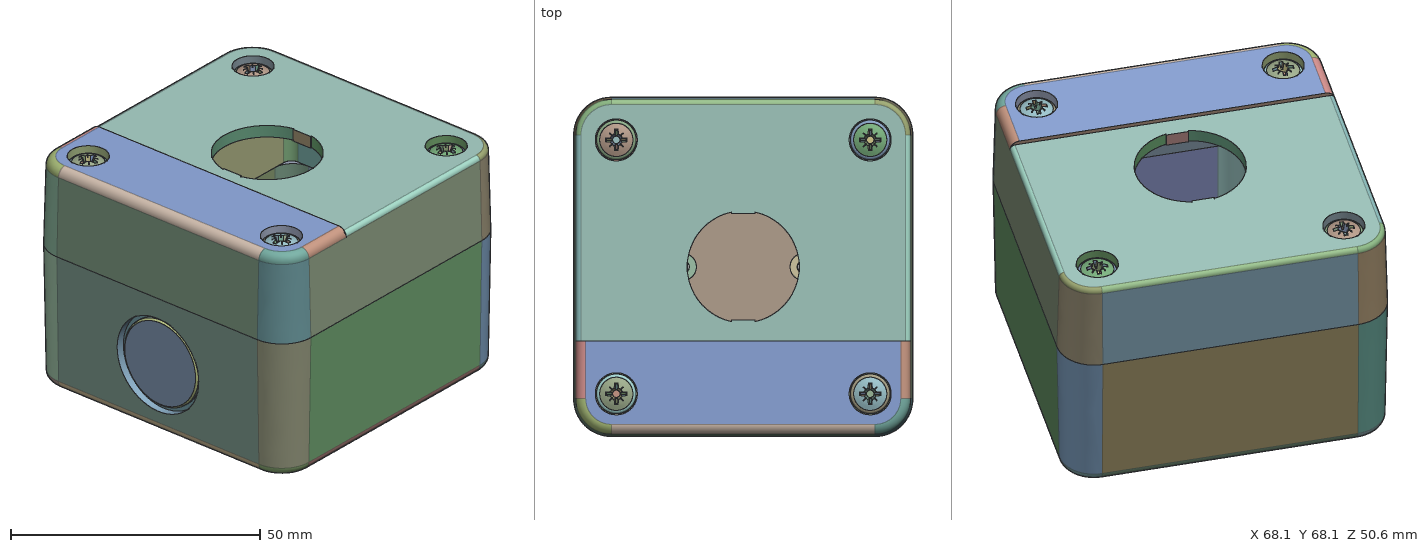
import cadquery as cq
import math

SIDE = 68.1
CORNER_R = 7.6
PARTING_Z = 30.7
LID_TOP_Z = 49.75
BAND_TOP_Z = 50.6
BAND_EDGE_Y = -14.9
LID_DRAFT = 1.5
BASE_DRAFT = 1.0
LID_EDGE_R = 1.0
BAND_EDGE_R = 2.0
BASE_EDGE_R = 2.0

CAVITY_X = 34.3
CAVITY_Y = 54.45
BASE_CAVITY_R = 4.75
LID_CAVITY_R = 2.05
LID_PLATE = 2.65
FLOOR = 3.0

BUTTON_D = 22.45
KEY_WIDTH = 4.6
KEY_FLAT = 10.7

MOUNT_X = 12.1
MOUNT_D = 2.5
MOUNT_BORE_D = 5.45
MOUNT_BORE_DEPTH = 1.0

KNOCKOUT_Z = 15.3
KNOCKOUT_D = 21.5
DISC_D = 19.5
DISC_CHAMFER = 0.4
KNOCKOUT_DEPTH = 2.2
DISC_RISE = 1.2

SCREW_POS = 25.45
BORE_D = 8.45
HEAD_D = 7.95
HEAD_RIM_D = 6.7
HEAD_SEAT_DEPTH = 4.0
HEAD_SIDE = 2.05
HEAD_EDGE = 0.7
HEAD_DOME = 0.8
SHANK_D = 4.0
SHANK_TIP_Z = 17.0
CROSS_SPAN = 4.4
CROSS_WIDTH = 0.9
CROSS_DEPTH = 1.35
CROSS_DRAFT = 12.0
SOCKET_TOP_D = 2.5
SOCKET_FLOOR_D = 1.5
SOCKET_DEPTH = 1.9
TICK_SPAN = 3.8
TICK_WIDTH = 0.15
TICK_DEPTH = 0.55

SCREW_POINTS = [(sx * SCREW_POS, sy * SCREW_POS) for sx in (-1, 1) for sy in (-1, 1)]


def head_seat_z(y):
    """Seat height of a screw: the two screws in the band sit as much higher as the band."""
    surface_z = BAND_TOP_Z if y < BAND_EDGE_Y else LID_TOP_Z
    return surface_z - HEAD_SEAT_DEPTH


def rounded_block(width, depth, radius, z, height, draft=0.0):
    """Round-cornered block from z; a negative height extends downwards."""
    outline = cq.Sketch().rect(width, depth).vertices().fillet(radius)
    return cq.Workplane("XY", origin=(0, 0, z)).placeSketch(outline).extrude(height, taper=draft)


def cylinder(diameter, z, height, points):
    return cq.Workplane("XY", origin=(0, 0, z)).pushPoints(points).circle(diameter / 2).extrude(height)


def lid_shell(top_z, edge_radius):
    """Drafted lid block with a rounded top edge."""
    shell = rounded_block(SIDE, SIDE, CORNER_R, PARTING_Z, top_z - PARTING_Z, LID_DRAFT)
    return shell.faces(">Z").edges().fillet(edge_radius)


def button_hole():
    """Round opening with two flat keys left standing in it."""
    height = BAND_TOP_Z - PARTING_Z
    hole = cylinder(BUTTON_D, PARTING_Z, height, [(0, 0)])
    key_centre = KEY_FLAT + BUTTON_D / 2
    keys = (
        cq.Workplane("XY", origin=(0, 0, PARTING_Z))
        .pushPoints([(0, -key_centre), (0, key_centre)])
        .rect(KEY_WIDTH, BUTTON_D)
        .extrude(height)
    )
    return hole.cut(keys)


def make_lid():
    band_zone = cq.Workplane("XY").box(SIDE, SIDE, BAND_TOP_Z, centered=(True, False, False))
    band_zone = band_zone.translate((0, BAND_EDGE_Y - SIDE, 0))
    lid = lid_shell(LID_TOP_Z, LID_EDGE_R).cut(band_zone)
    lid = lid.union(lid_shell(BAND_TOP_Z, BAND_EDGE_R).intersect(band_zone))
    cavity_height = LID_TOP_Z - LID_PLATE - PARTING_Z
    lid = lid.cut(rounded_block(CAVITY_X, CAVITY_Y, LID_CAVITY_R, PARTING_Z, cavity_height))
    lid = lid.cut(button_hole())
    for x, y in SCREW_POINTS:
        lid = lid.cut(cylinder(BORE_D, head_seat_z(y), HEAD_SEAT_DEPTH, [(x, y)]))
    return lid.cut(cylinder(SHANK_D, PARTING_Z, LID_TOP_Z - PARTING_Z, SCREW_POINTS))


def knockout_recess():
    """Ring-shaped recess around a chamfered disc, opening towards -Y."""
    floor_y = -SIDE / 2 + KNOCKOUT_DEPTH
    floor_plane = cq.Workplane("XZ", origin=(0, floor_y, KNOCKOUT_Z))
    recess = floor_plane.circle(KNOCKOUT_D / 2).extrude(KNOCKOUT_DEPTH)
    disc = floor_plane.circle(DISC_D / 2).extrude(DISC_RISE)
    disc = disc.faces("<Y").chamfer(DISC_CHAMFER)
    return recess.cut(disc)


def make_base():
    base = rounded_block(SIDE, SIDE, CORNER_R, PARTING_Z, -PARTING_Z, BASE_DRAFT)
    base = base.faces("<Z").edges().fillet(BASE_EDGE_R)
    base = base.cut(rounded_block(CAVITY_X, CAVITY_Y, BASE_CAVITY_R, FLOOR, PARTING_Z - FLOOR))
    mounts = [(-MOUNT_X, 0), (MOUNT_X, 0)]
    base = base.cut(cylinder(MOUNT_D, 0, FLOOR, mounts))
    base = base.cut(cylinder(MOUNT_BORE_D, FLOOR - MOUNT_BORE_DEPTH, MOUNT_BORE_DEPTH, mounts))
    base = base.cut(knockout_recess())
    return base.cut(cylinder(SHANK_D, SHANK_TIP_Z, PARTING_Z - SHANK_TIP_Z, SCREW_POINTS))


def cross_recess(top_z):
    """Cross-head drive: drafted cross, conical socket in its middle and diagonal tick marks."""
    bars = cq.Sketch().rect(CROSS_SPAN, CROSS_WIDTH).rect(CROSS_WIDTH, CROSS_SPAN)
    top = cq.Workplane("XY", origin=(0, 0, top_z))
    cross = top.placeSketch(bars.clean()).extrude(-CROSS_DEPTH, taper=CROSS_DRAFT)
    socket_draft = math.degrees(math.atan((SOCKET_TOP_D - SOCKET_FLOOR_D) / 2 / SOCKET_DEPTH))
    socket = top.circle(SOCKET_TOP_D / 2).extrude(-SOCKET_DEPTH, taper=socket_draft)
    ticks = top.rect(TICK_SPAN, TICK_WIDTH).extrude(-TICK_DEPTH)
    ticks = ticks.union(ticks.rotate((0, 0, 0), (0, 0, 1), 90))
    ticks = ticks.rotate((0, 0, 0), (0, 0, 1), 45)
    return cross.union(socket).union(ticks)


def make_screw(x, y):
    """Domed cross-head screw standing on the Z axis, moved to its place."""
    seat_z = head_seat_z(y)
    edge_z = seat_z + HEAD_SIDE
    rim_z = edge_z + HEAD_EDGE
    top_z = rim_z + HEAD_DOME
    head_r = HEAD_D / 2
    rim_r = HEAD_RIM_D / 2
    edge_mid = (
        rim_r + (head_r - rim_r) * math.cos(math.pi / 4),
        edge_z + HEAD_EDGE * math.sin(math.pi / 4),
    )
    dome_mid = (rim_r / 2, rim_z + HEAD_DOME * 3 / 4)
    profile = (
        cq.Workplane("XZ")
        .moveTo(0, SHANK_TIP_Z)
        .lineTo(SHANK_D / 2, SHANK_TIP_Z)
        .lineTo(SHANK_D / 2, seat_z)
        .lineTo(head_r, seat_z)
        .lineTo(head_r, edge_z)
        .threePointArc(edge_mid, (rim_r, rim_z))
        .threePointArc(dome_mid, (0, top_z))
        .close()
    )
    screw = profile.revolve(360, (0, 0, 0), (0, 1, 0))
    return screw.cut(cross_recess(top_z)).translate((x, y, 0))


lid = make_lid()
base = make_base()
screws = [make_screw(x, y) for x, y in SCREW_POINTS]

result = cq.Compound.makeCompound([base.val(), lid.val(), *[screw.val() for screw in screws]])